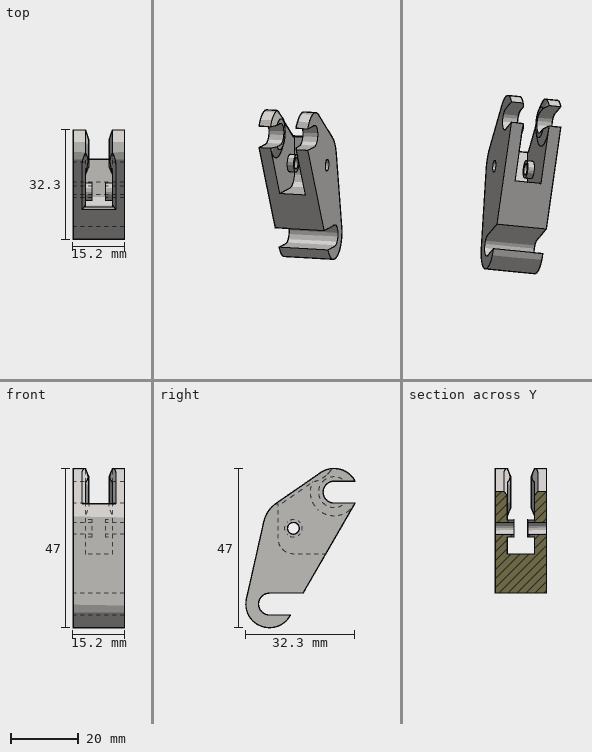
import cadquery as cq
import math

WIDTH = 15.2
HOOK_RADIUS = 7.0
SLOT_RADIUS = 3.2
UPPER_HOOK = (0, 0)
LOWER_HOOK = (-19.05, -33.0)
BACK_ANGLE = 60

PIVOT = (-12.0, -10.65)
PIVOT_CORNER_RADIUS = 8.98
PIVOT_HOLE_RADIUS = 1.7
PIVOT_BOSS_RADIUS = 2.6
PIVOT_BOSS_GAP = 4.0

CHANNEL_WIDTH = 7.95
CHANNEL_FLOOR_DROP = 7.5
CHANNEL_CORNER_RADIUS = 4.5
BEVEL = 1.0
MOUTH_OVERRUN = 0.25

RING_GAP = 5.9
RING_BASE_RADIUS = HOOK_RADIUS
RING_FACE_RADIUS = 4.55

OVERCUT = 28.2


def polar(centre, radius, angle):
    """Point (Y, Z) at an angle in radians from +Y around a centre."""
    return (centre[0] + radius * math.cos(angle), centre[1] + radius * math.sin(angle))


def tangent_angle(first, first_radius, second, second_radius):
    """Direction of the radius to the outer tangent on the -Y side, running first to second."""
    dy = second[0] - first[0]
    dz = second[1] - first[1]
    lean = math.asin((first_radius - second_radius) / math.hypot(dy, dz))
    return math.atan2(dz, dy) - math.pi / 2 + lean


def extrude_x(sketch, width):
    """Extrude a closed Y-Z sketch symmetrically about X = 0."""
    return sketch.extrude(width / 2, both=True)


def disc(centre, radius, width):
    return extrude_x(cq.Workplane("YZ").center(*centre).circle(radius), width)


top_normal = tangent_angle(UPPER_HOOK, HOOK_RADIUS, PIVOT, PIVOT_CORNER_RADIUS) % (2 * math.pi)
front_normal = tangent_angle(PIVOT, PIVOT_CORNER_RADIUS, LOWER_HOOK, HOOK_RADIUS) % (2 * math.pi)
tip_reach = math.sqrt(HOOK_RADIUS**2 - SLOT_RADIUS**2)
tip_angle = math.asin(SLOT_RADIUS / HOOK_RADIUS)
back_top = (tip_reach, -SLOT_RADIUS)
back_bottom_z = LOWER_HOOK[1] + SLOT_RADIUS
back_drop = back_top[1] - back_bottom_z
back_bottom = (back_top[0] - back_drop / math.tan(math.radians(BACK_ANGLE)), back_bottom_z)
top_corner = polar(PIVOT, PIVOT_CORNER_RADIUS, top_normal)


def make_body():
    """Plate outline with two open hooks, rounded around the pivot."""
    upper_mid = (tip_angle + top_normal) / 2
    pivot_mid = (top_normal + front_normal) / 2
    lower_tip_angle = 2 * math.pi - tip_angle
    lower_mid = (front_normal + lower_tip_angle) / 2
    lower_y, lower_z = LOWER_HOOK
    outline = (
        cq.Workplane("YZ")
        .moveTo(tip_reach, SLOT_RADIUS)
        .threePointArc(polar(UPPER_HOOK, HOOK_RADIUS, upper_mid), polar(UPPER_HOOK, HOOK_RADIUS, top_normal))
        .lineTo(*top_corner)
        .threePointArc(
            polar(PIVOT, PIVOT_CORNER_RADIUS, pivot_mid),
            polar(PIVOT, PIVOT_CORNER_RADIUS, front_normal),
        )
        .lineTo(*polar(LOWER_HOOK, HOOK_RADIUS, front_normal))
        .threePointArc(
            polar(LOWER_HOOK, HOOK_RADIUS, lower_mid),
            polar(LOWER_HOOK, HOOK_RADIUS, lower_tip_angle),
        )
        .lineTo(lower_y, lower_z - SLOT_RADIUS)
        .threePointArc((lower_y - SLOT_RADIUS, lower_z), (lower_y, lower_z + SLOT_RADIUS))
        .lineTo(*back_bottom)
        .lineTo(*back_top)
        .lineTo(0, -SLOT_RADIUS)
        .threePointArc((-SLOT_RADIUS, 0), (0, SLOT_RADIUS))
        .close()
    )
    return extrude_x(outline, WIDTH)


def make_channel():
    """Channel open at the top and back, with a rounded floor corner and vertical front wall."""
    floor_z = PIVOT[1] - CHANNEL_FLOOR_DROP
    wall_y = PIVOT[0] - CHANNEL_CORNER_RADIUS
    arc_z = floor_z + CHANNEL_CORNER_RADIUS
    arc_mid = polar((PIVOT[0], arc_z), CHANNEL_CORNER_RADIUS, math.radians(225))
    sketch = (
        cq.Workplane("YZ")
        .moveTo(OVERCUT, floor_z)
        .lineTo(PIVOT[0], floor_z)
        .threePointArc(arc_mid, (wall_y, arc_z))
        .lineTo(wall_y, OVERCUT)
        .lineTo(OVERCUT, OVERCUT)
        .close()
    )
    return extrude_x(sketch, CHANNEL_WIDTH)


def make_bevel():
    """45 degree bevel around the channel mouth, tapering inward from the sloped top face."""
    mouth_plane = cq.Plane(
        origin=(0, *top_corner),
        xDir=(1, 0, 0),
        normal=(0, -math.cos(top_normal), -math.sin(top_normal)),
    )
    mouth_width = CHANNEL_WIDTH + 2 * BEVEL
    bevel_depth = (mouth_width - RING_GAP) / 2
    return (
        cq.Workplane(mouth_plane)
        .center(0, MOUTH_OVERRUN - OVERCUT / 2)
        .rect(mouth_width, OVERCUT)
        .extrude(bevel_depth, taper=45)
    )


def make_ring(side):
    """Conical raised ring on the inner wall of one cheek (side is -1 or +1)."""
    wall_x = CHANNEL_WIDTH / 2
    face_x = RING_GAP / 2
    cone = cq.Solid.makeCone(
        RING_BASE_RADIUS,
        RING_FACE_RADIUS,
        wall_x - face_x,
        pnt=cq.Vector(side * wall_x, *UPPER_HOOK),
        dir=cq.Vector(-side, 0, 0),
    )
    return cq.Workplane(cone)


body = make_body()
pivot_bosses = disc(PIVOT, PIVOT_BOSS_RADIUS, WIDTH).cut(disc(PIVOT, PIVOT_BOSS_RADIUS, PIVOT_BOSS_GAP))
channel = make_channel().cut(pivot_bosses)
for side in (-1, 1):
    channel = channel.cut(make_ring(side))

result = (
    body.cut(channel)
    .cut(make_bevel())
    .cut(disc(PIVOT, PIVOT_HOLE_RADIUS, WIDTH))
)